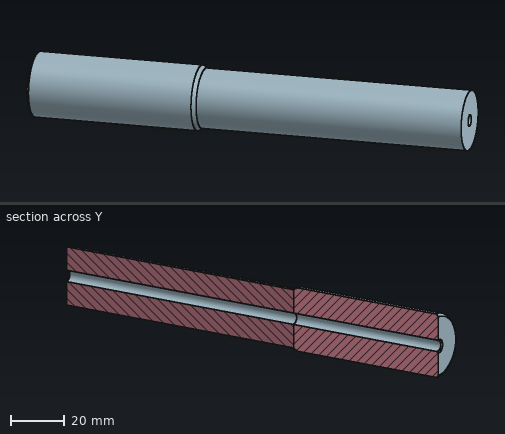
import cadquery as cq

total_length = 170.0
head_length = 66.3
head_diameter = 25.0
shank_diameter = 23.0
bore_diameter = 4.2

front_chamfer = 1.0
shoulder_taper_length = 1.7
shoulder_taper_depth = (head_diameter - shank_diameter) / 2
bore_mouth_diameter = 5.3
bore_mouth_chamfer = (bore_mouth_diameter - bore_diameter) / 2


def tube(start, length, outer_diameter):
    """Cylinder along +X from the given X position, with the coolant bore through it."""
    return (
        cq.Workplane("YZ", origin=(start, 0, 0))
        .circle(outer_diameter / 2)
        .circle(bore_diameter / 2)
        .extrude(length)
    )


def make_head():
    """Thick front body: chamfered front rim and bore mouth, tapered down to the shank."""
    outer_edge = cq.selectors.RadiusNthSelector(-1)
    bore_edge = cq.selectors.RadiusNthSelector(0)
    head = tube(0, head_length, head_diameter)
    head = head.faces("<X").edges(outer_edge).chamfer(front_chamfer)
    head = head.faces("<X").edges(bore_edge).chamfer(bore_mouth_chamfer)

    head_radius = head_diameter / 2
    taper_cut = (
        cq.Workplane("XY")
        .moveTo(head_length - shoulder_taper_length, head_radius)
        .lineTo(head_length, head_radius)
        .lineTo(head_length, head_radius - shoulder_taper_depth)
        .close()
        .revolve(360, (0, 0, 0), (1, 0, 0))
    )
    return head.cut(taper_cut)


def make_shank():
    """Plain bored shank butted against the rear face of the head."""
    return tube(head_length, total_length - head_length, shank_diameter)


head = make_head()
shank = make_shank()

result = cq.Compound.makeCompound([head.val(), shank.val()])